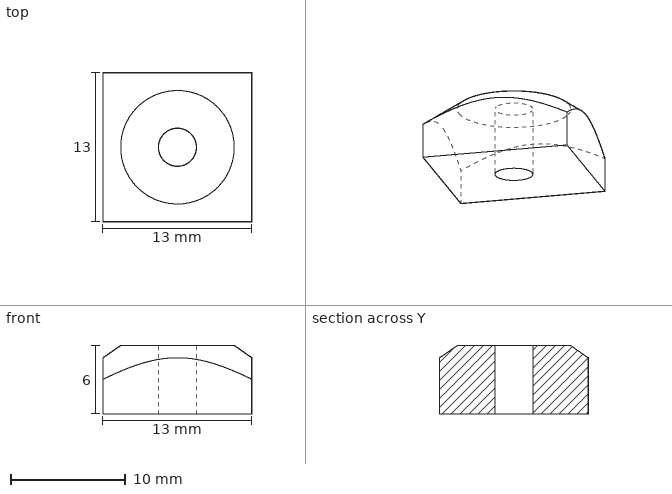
import cadquery as cq
import math

side = 13.0
height = 6.0
top_face_diameter = 9.9
hole_diameter = 3.3
cone_slope = 35.0

top_radius = top_face_diameter / 2
cone_radius = side
cone_drop = (cone_radius - top_radius) * math.tan(math.radians(cone_slope))


def square_block():
    return cq.Workplane("XY").box(side, side, height, centered=(True, True, False))


def conical_envelope():
    """Solid of revolution with a flat top and a sloping conical shoulder."""
    shoulder_height = height - cone_drop
    profile = (
        cq.Workplane("XZ")
        .moveTo(0, 0)
        .lineTo(cone_radius, 0)
        .lineTo(cone_radius, shoulder_height)
        .lineTo(top_radius, height)
        .lineTo(0, height)
        .close()
    )
    return profile.revolve(360, (0, 0, 0), (0, 1, 0))


def center_hole():
    return cq.Workplane("XY").circle(hole_diameter / 2).extrude(height)


result = square_block().intersect(conical_envelope()).cut(center_hole())